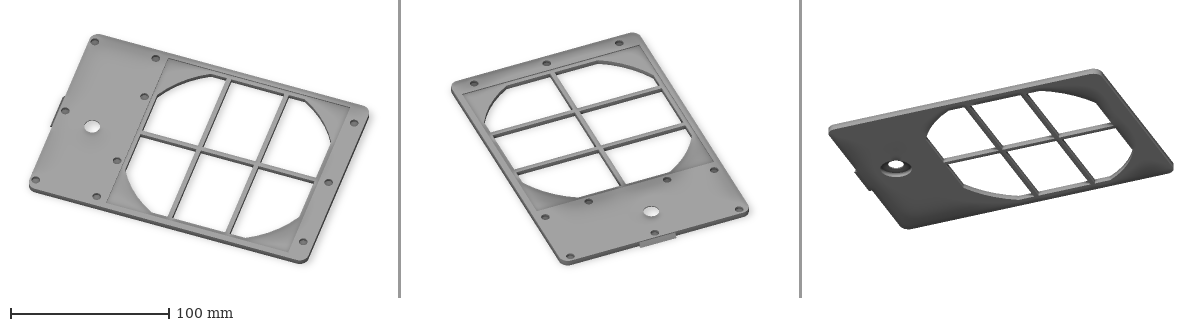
import cadquery as cq

plate_length = 186.5
plate_width = 129.5
plate_thickness = 3.8
corner_radius = 5.8

tab_reach = 188.5 - plate_length
tab_width = 24.7
tab_height = 3.0

recess_center_x = 112.7
recess_side = 121.6
recess_depth = 0.8
window_side = 116.1
opening_diameter = 132.0
bar_width = 3.0
bar_offset = 19.2

pocket_diameter = 5.5
pocket_depth = 1.9
corner_pocket_y = 57.9
left_pocket_x = 4.0
middle_pocket_x = 44.7
inner_pocket_x = 47.7
inner_pocket_y = 26.86
right_pocket_x = 179.8
right_pocket_y = 49.8

hole_diameter = 10.0
hole_x = 24.0
hole_y = -6.0

relief_diameter = 20.0
skin_thickness = 0.8


def box(length, width, height, center_x, bottom=0.0):
    """Box centered on Y = 0, standing on the given bottom height."""
    solid = cq.Workplane("XY").box(length, width, height, centered=(True, True, False))
    return solid.translate((center_x, 0, bottom))


def make_plate():
    plate = box(plate_length, plate_width, plate_thickness, plate_length / 2)
    return plate.edges("|Z").fillet(corner_radius)


def make_tab():
    """Triangular wedge, sloping from the plate edge down to the underside."""
    profile = cq.Workplane("XZ").polyline([(0, 0), (-tab_reach, 0), (0, tab_height)]).close()
    return profile.extrude(tab_width / 2, both=True)


def make_window():
    """Clear openings left between the bars."""
    disc = cq.Workplane("XY").center(recess_center_x, 0).circle(opening_diameter / 2)
    window = disc.extrude(plate_thickness)
    window = window.intersect(box(window_side, window_side, plate_thickness, recess_center_x))
    window = window.cut(box(window_side, bar_width, plate_thickness, recess_center_x))
    for side in (-1, 1):
        bar_x = recess_center_x + side * bar_offset
        window = window.cut(box(bar_width, window_side, plate_thickness, bar_x))
    return window


def make_pockets():
    centers = [(left_pocket_x, 0), (right_pocket_x, 0)]
    for side in (-1, 1):
        centers += [
            (left_pocket_x, side * corner_pocket_y),
            (middle_pocket_x, side * corner_pocket_y),
            (inner_pocket_x, side * inner_pocket_y),
            (right_pocket_x, side * right_pocket_y),
        ]
    floor = cq.Workplane("XY").workplane(offset=plate_thickness - pocket_depth)
    return floor.pushPoints(centers).circle(pocket_diameter / 2).extrude(pocket_depth)


def make_cylinder(diameter, height):
    """Cylinder on the hole axis, rising from the underside."""
    return cq.Workplane("XY").center(hole_x, hole_y).circle(diameter / 2).extrude(height)


recess = box(recess_side, recess_side, recess_depth, recess_center_x, plate_thickness - recess_depth)

result = make_plate().union(make_tab())
result = result.cut(recess).cut(make_window()).cut(make_pockets())
result = result.cut(make_cylinder(hole_diameter, plate_thickness))
result = result.cut(make_cylinder(relief_diameter, plate_thickness - skin_thickness))